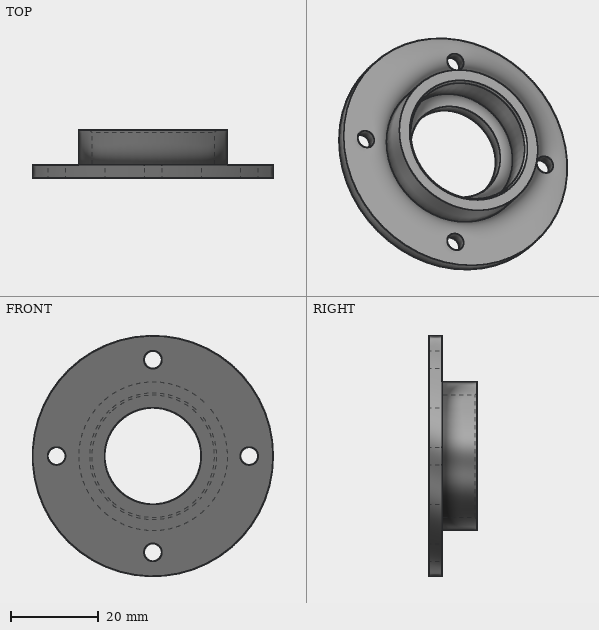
import cadquery as cq

flange_diameter = 55.0
flange_thickness = 3.0

overall_length = 11.0
hub_diameter = 34.0
hub_length = overall_length - flange_thickness

bore_diameter = 22.0
lip_thickness = 3.0
seat_diameter = 28.0
seat_depth = overall_length - lip_thickness
seat_chamfer = 0.5
chamfer_angle = 45.0

mount_hole_diameter = 4.0
mount_circle_diameter = 44.0
mount_hole_count = 4


def cylinder_along_y(diameter, start_y, length):
    """Cylinder on the part axis, running from start_y towards +Y."""
    base = cq.Workplane("XZ", origin=(0, start_y, 0))
    return base.circle(diameter / 2).extrude(-length)


def make_body():
    flange = cylinder_along_y(flange_diameter, 0, flange_thickness)
    hub = cylinder_along_y(hub_diameter, flange_thickness, hub_length)
    return flange.union(hub)


def make_central_opening():
    bore = cylinder_along_y(bore_diameter, 0, overall_length)
    seat = cylinder_along_y(seat_diameter, lip_thickness, seat_depth)
    seat_end = cq.Workplane("XZ", origin=(0, overall_length - seat_chamfer, 0))
    lead_in = seat_end.circle(seat_diameter / 2).extrude(-seat_chamfer, taper=-chamfer_angle)
    return bore.union(seat).union(lead_in)


def make_mount_holes():
    return (
        cq.Workplane("XZ")
        .polarArray(mount_circle_diameter / 2, 0, 360, mount_hole_count)
        .circle(mount_hole_diameter / 2)
        .extrude(-flange_thickness)
    )


result = make_body().cut(make_central_opening()).cut(make_mount_holes())